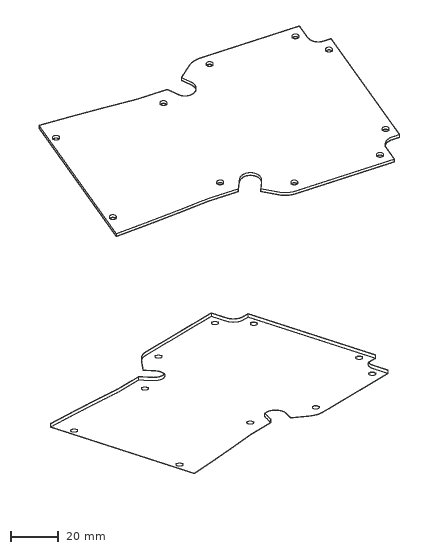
import cadquery as cq
import math

length = 134.0
width = 92.2
thickness = 1.6
half_width = width / 2
rear_y = length / 2
front_y = -rear_y

rear_half_width = 33.2
cutout_depth = 8.6
cutout_radius = 5.0

shoulder_tip_x = 38.5
shoulder_angle = math.radians(49)
shoulder_radius = 10.0

slot_angle = math.radians(30)
slot_radius = 4.7
slot_center_x = 31.8
slot_center_y = -1.7

slot_wall_offset = slot_radius / math.cos(slot_angle)
tip_drop = (shoulder_tip_x - slot_center_x) * math.tan(slot_angle)
shoulder_tip_y = slot_center_y + slot_wall_offset - tip_drop

waist_half_width = 34.5
flare_start_y = -22.8
front_half_width = 37.5
flare_middle_x = 36.0
flare_middle_y = -42.9

hole_diameter = 3.0
inner_hole_x = 27.5
outer_hole_x = 41.0
hole_places = [
    (inner_hole_x, 63.2),
    (outer_hole_x, 54.1),
    (outer_hole_x, 14.2),
    (inner_hole_x, -13.8),
    (inner_hole_x, -63.8),
]


def make_half_plate():
    """The +X half of the plate, without slot and holes."""
    step_y = rear_y - cutout_depth
    corner_y = shoulder_tip_y + (half_width - shoulder_tip_x) * math.tan(shoulder_angle)
    plate = (
        cq.Workplane("XY")
        .moveTo(0, rear_y)
        .lineTo(rear_half_width, rear_y)
        .lineTo(rear_half_width, step_y)
        .lineTo(half_width, step_y)
        .lineTo(half_width, corner_y)
        .lineTo(shoulder_tip_x, shoulder_tip_y)
        .lineTo(waist_half_width, shoulder_tip_y)
        .lineTo(waist_half_width, flare_start_y)
        .threePointArc((flare_middle_x, flare_middle_y), (front_half_width, front_y))
        .lineTo(0, front_y)
        .close()
        .extrude(thickness)
    )
    plate = fillet_upright_edge(plate, rear_half_width, step_y, cutout_radius)
    return fillet_upright_edge(plate, half_width, corner_y, shoulder_radius)


def fillet_upright_edge(body, x, y, radius):
    nearest = cq.selectors.NearestToPointSelector((x, y, thickness / 2))
    return body.edges("|Z").edges(nearest).fillet(radius)


def make_slot():
    """Cutter for the +X slot: a round end with a straight, open mouth."""
    reach = (shoulder_tip_x - slot_center_x) / math.cos(slot_angle) + 2 * slot_radius
    return (
        cq.Workplane("XY")
        .moveTo(0, slot_radius)
        .lineTo(reach, slot_radius)
        .lineTo(reach, -slot_radius)
        .lineTo(0, -slot_radius)
        .threePointArc((-slot_radius, 0), (0, slot_radius))
        .close()
        .extrude(thickness)
        .rotate((0, 0, 0), (0, 0, 1), -math.degrees(slot_angle))
        .translate((slot_center_x, slot_center_y, 0))
    )


def make_holes():
    return (
        cq.Workplane("XY")
        .pushPoints(hole_places)
        .circle(hole_diameter / 2)
        .extrude(thickness)
    )


half_plate = make_half_plate().cut(make_slot()).cut(make_holes())
result = half_plate.union(half_plate.mirror("YZ")).clean()